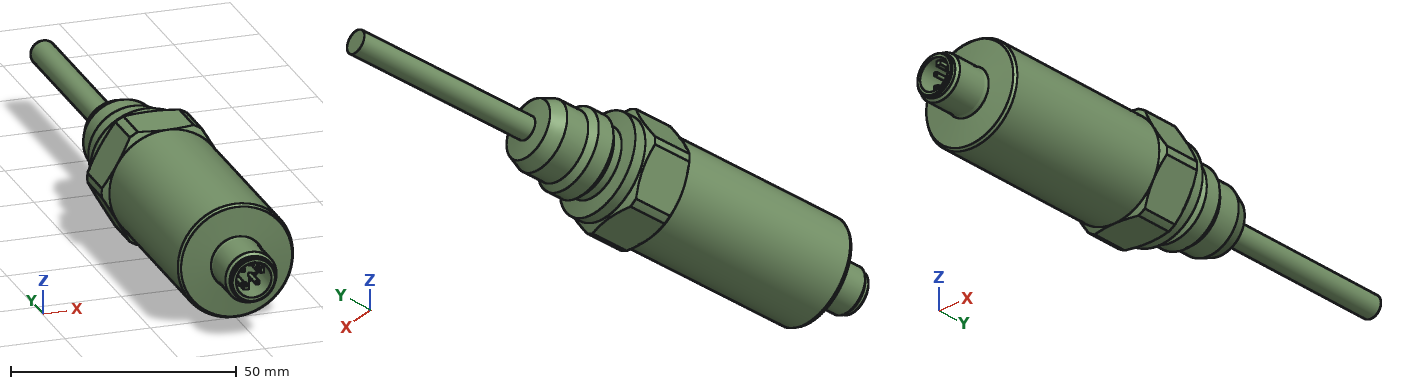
import cadquery as cq
import math


rim_diameter = 9.9
tip_diameter = 10.5
plug_diameter = 12.0
collar_diameter = 12.4
tip_chamfer_end = 0.3
tip_end = 1.2
plug_start = 1.9
collar_start = 10.2

bore_diameter = 8.3
bore_depth = 8.5
key_width = 1.2
key_height = 1.2
key_recess = 1.5
pin_diameter = 1.0
pin_tip_diameter = 0.6
pin_circle_diameter = 4.8
pin_count = 4
first_pin_angle = 45
pin_recess = 2.2
rib_width = 1.2
rib_height = 0.8
rib_recess = 5.0
rib_angles = (90, 180, 270)
floor_cross_width = 2.9
floor_cross_height = 1.0

housing_diameter = 27.0
housing_face_diameter = 26.0
housing_start = 11.2
housing_face_edge = 11.8
housing_chamfer_end = 12.6

hex_sides = 6
across_flats = housing_diameter
across_corners = 30.0
hex_start = 59.6
hex_end = 71.6
hex_chamfer_angle = 30.0

flange_diameter = 26.0
flange_edge = 74.5
flange_end = 75.1
gland_diameter = 18.0
ring_diameter = 20.95
neck_end = 77.3
ring_start = 78.7
ring_end = 83.0
gland_start = 84.8
gland_end = 90.9
nose_diameter = 15.0
nose_edge = 94.6
nose_end = 95.1
cable_diameter = 6.0
total_length = 144.7


def turned(points):
    """Solid of revolution about Y from (diameter, station) pairs, closed along the axis."""
    outline = [(diameter / 2, station) for diameter, station in points]
    outline = [(0, points[0][1])] + outline + [(0, points[-1][1])]
    return cq.Workplane("XY").polyline(outline).close().revolve(360, (0, 0), (0, 1))


def block(width, height, start, end, z=0):
    """Block between two stations, centred on X = 0 and on the given Z."""
    plane = cq.Workplane("XZ", origin=(0, start, z))
    return plane.rect(width, height).extrude(start - end)


def make_plug():
    return turned([
        (rim_diameter, 0),
        (tip_diameter, tip_chamfer_end),
        (tip_diameter, tip_end),
        (plug_diameter, plug_start),
        (plug_diameter, collar_start),
        (collar_diameter, housing_start),
        (collar_diameter, housing_face_edge),
    ])


def make_housing():
    return turned([
        (collar_diameter, housing_start),
        (housing_face_diameter, housing_face_edge),
        (housing_diameter, housing_chamfer_end),
        (housing_diameter, hex_start),
    ])


def make_hexagon():
    vertex_diameter = across_flats / math.cos(math.pi / hex_sides)
    plane = cq.Workplane("XZ", origin=(0, hex_start, 0))
    prism = plane.polygon(hex_sides, vertex_diameter).extrude(hex_start - hex_end)
    chamfer_slope = math.tan(math.radians(hex_chamfer_angle))
    front_chamfer = (across_corners - housing_diameter) / 2 * chamfer_slope
    rear_chamfer = (across_corners - flange_diameter) / 2 * chamfer_slope
    envelope = turned([
        (housing_diameter, hex_start),
        (across_corners, hex_start + front_chamfer),
        (across_corners, hex_end - rear_chamfer),
        (flange_diameter, hex_end),
    ])
    return prism.intersect(envelope)


def make_gland():
    return turned([
        (flange_diameter, hex_end),
        (flange_diameter, flange_edge),
        (gland_diameter, flange_end),
        (gland_diameter, neck_end),
        (ring_diameter, ring_start),
        (ring_diameter, ring_end),
        (gland_diameter, gland_start),
        (gland_diameter, gland_end),
        (nose_diameter, nose_edge),
        (cable_diameter, nose_end),
        (cable_diameter, total_length),
    ])


def make_socket():
    """Space inside the plug, left open around the pins, key, ribs and floor cross."""
    socket = turned([(bore_diameter, 0), (bore_diameter, bore_depth)])
    bore_radius = bore_diameter / 2

    key_center = bore_radius - key_height / 2
    socket = socket.cut(block(key_width, key_height, key_recess, bore_depth, key_center))

    rib_center = bore_radius - rib_height / 2
    rib = block(rib_width, rib_height, rib_recess, bore_depth, rib_center)
    for angle in rib_angles:
        socket = socket.cut(rib.rotate((0, 0, 0), (0, 1, 0), angle))

    cross_arm = block(floor_cross_width, bore_diameter, bore_depth - floor_cross_height, bore_depth)
    socket = socket.cut(cross_arm)
    socket = socket.cut(cross_arm.rotate((0, 0, 0), (0, 1, 0), 90))

    pin_chamfer = (pin_diameter - pin_tip_diameter) / 2
    pin = turned([
        (pin_tip_diameter, pin_recess),
        (pin_diameter, pin_recess + pin_chamfer),
        (pin_diameter, bore_depth),
    ])
    pin_offset = pin_circle_diameter / 2
    for index in range(pin_count):
        angle = math.radians(first_pin_angle + index * 360 / pin_count)
        x = pin_offset * math.cos(angle)
        z = pin_offset * math.sin(angle)
        socket = socket.cut(pin.translate((x, 0, z)))
    return socket


result = (
    make_plug()
    .union(make_housing())
    .union(make_hexagon())
    .union(make_gland())
    .cut(make_socket())
)